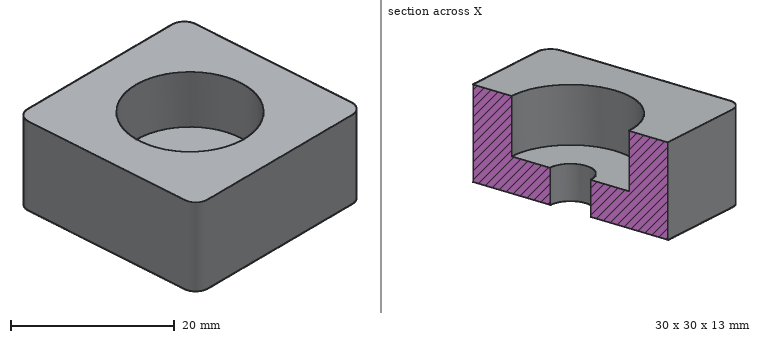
import cadquery as cq

side = 30.0
height = 13.0
corner_radius = 2.0

bore_diameter = 18.0
bore_depth = 8.0
hole_diameter = 6.2

block = (
    cq.Workplane("XY")
    .box(side, side, height, centered=(True, True, False))
    .edges("|Z")
    .fillet(corner_radius)
)

result = (
    block.faces(">Z")
    .workplane()
    .cboreHole(hole_diameter, bore_diameter, bore_depth)
)